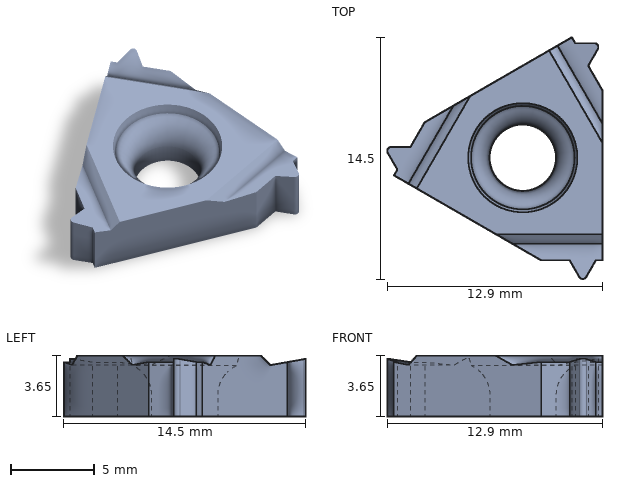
import cadquery as cq
import math

corner_count = 3
thickness = 3.65
inscribed_radius = 4.77
corner_edge = 6.14

tooth_tip = 7.25
tooth_offset = 3.58
tooth_nose_radius = 0.25
tooth_half_angle = math.radians(30)

groove_start = 4.57
groove_bottom = 5.15
groove_depth = 0.56
rake_angle = math.radians(10)

mouth_radius = 3.27
seat_radius = 3.09
bore_radius = 1.98
mouth_depth = 0.59
seat_depth = 2.34

cut_margin = 0.72
groove_half_length = 14.45


def make_body():
    """Triangle with its three corners cut off straight."""
    triangle = cq.Workplane("XY").polygon(3, 4 * inscribed_radius).extrude(thickness)
    triangle = triangle.rotate((0, 0, 0), (0, 0, 1), 180)
    trim_size = 2 * inscribed_radius
    trim = (
        cq.Workplane("XY")
        .center(inscribed_radius, -corner_edge - trim_size / 2)
        .rect(2 * trim_size, trim_size)
        .extrude(thickness)
    )
    for corner in range(corner_count):
        triangle = triangle.cut(at_corner(trim, corner))
    return triangle


def at_corner(shape, corner):
    """Turn a feature made for the -Y corner to another corner."""
    return shape.rotate((0, 0, 0), (0, 0, 1), corner * 360 / corner_count)


def make_tooth():
    """V-shaped tooth with flanks tangent to its rounded tip."""
    root = -groove_bottom
    nose_center = -tooth_tip + tooth_nose_radius
    tangent_x = tooth_nose_radius * math.cos(tooth_half_angle)
    tangent_y = nose_center - tooth_nose_radius * math.sin(tooth_half_angle)
    edge_half_width = tangent_x + (-corner_edge - tangent_y) * math.tan(tooth_half_angle)
    return (
        cq.Workplane("XY")
        .moveTo(tooth_offset - edge_half_width, root)
        .lineTo(tooth_offset - edge_half_width, -corner_edge)
        .lineTo(tooth_offset - tangent_x, tangent_y)
        .threePointArc((tooth_offset, -tooth_tip), (tooth_offset + tangent_x, tangent_y))
        .lineTo(tooth_offset + edge_half_width, -corner_edge)
        .lineTo(tooth_offset + edge_half_width, root)
        .close()
        .extrude(thickness)
    )


def make_groove():
    """Steep wall down to the groove bottom, then a rake face rising to the tip."""
    outer = tooth_tip + cut_margin
    rake_end = thickness - groove_depth + (outer - groove_bottom) * math.tan(rake_angle)
    return (
        cq.Workplane("YZ")
        .moveTo(-groove_start, thickness)
        .lineTo(-groove_bottom, thickness - groove_depth)
        .lineTo(-outer, rake_end)
        .lineTo(-outer, thickness + cut_margin)
        .lineTo(-groove_start, thickness + cut_margin)
        .close()
        .extrude(groove_half_length, both=True)
    )


def make_hole():
    """Revolved hole whose convex seat runs tangent into the bore."""
    seat_width = seat_radius - bore_radius
    seat_height = seat_depth - mouth_depth
    seat_curve = (seat_height**2 + seat_width**2) / (2 * seat_width)
    half_sweep = math.asin(seat_height / seat_curve) / 2
    seat_bottom = thickness - seat_depth
    seat_middle = (
        bore_radius + seat_curve * (1 - math.cos(half_sweep)),
        seat_bottom + seat_curve * math.sin(half_sweep),
    )
    return (
        cq.Workplane("XZ")
        .lineTo(bore_radius, 0)
        .lineTo(bore_radius, seat_bottom)
        .threePointArc(seat_middle, (seat_radius, thickness - mouth_depth))
        .lineTo(mouth_radius, thickness)
        .lineTo(0, thickness)
        .close()
        .revolve(360, (0, 0), (0, 1))
    )


result = make_body()
for corner in range(corner_count):
    result = result.union(at_corner(make_tooth(), corner))
for corner in range(corner_count):
    result = result.cut(at_corner(make_groove(), corner))
result = result.cut(make_hole())